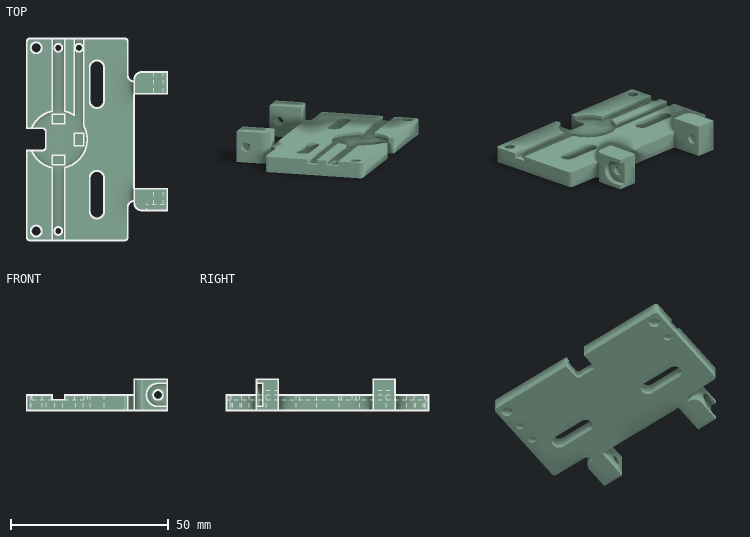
import cadquery as cq

plate_length = 64.0
plate_width = 32.0
wide_width = 34.0
plate_thickness = 5.0
corner_radius = 1.0
relief_radius = wide_width - plate_width

notch_depth = 6.0
notch_width = 7.0
notch_corner_radius = 1.0

channel_depth = 1.5
channel_x = 10.0
channel_width = 3.95
side_channel_x = 16.5
side_channel_width = 3.0
recess_radius = 9.15

pad_depth = 0.1
pad_length = 3.0
pad_offset = 6.5
side_pad_length = 3.95

mount_hole_diameter = 3.4
wire_hole_diameter = 2.4
hole_inset = 3.0
slot_x = 22.2
slot_width = 4.5
slot_length = 15.0
slot_offset = 17.45

lug_end_x = 44.45
lug_height = 10.0
lug_thickness = 7.0
lug_corner_radius = 2.5
upper_lug_outer_y = 21.4
lower_lug_outer_y = -22.5
relief_inset = 3.0
lug_hole_diameter = 3.0
lug_hole_x = 41.5
head_recess_radius = 3.65
head_recess_depth = 2.0

half_length = plate_length / 2
floor_z = plate_thickness - channel_depth
hole_y = half_length - hole_inset


def block(x_min, x_max, y_min, y_max, z_min, z_max):
    """Axis-aligned box given by its limits."""
    size = (x_max - x_min, y_max - y_min, z_max - z_min)
    return cq.Workplane("XY").box(*size, centered=False).translate((x_min, y_min, z_min))


def upright_cylinder(x, y, diameter, z_min, z_max):
    circle = cq.Workplane("XY").workplane(offset=z_min).center(x, y).circle(diameter / 2)
    return circle.extrude(z_max - z_min)


def make_plate():
    """Rounded plate with a wider middle, joined by concave reliefs beside the lugs."""
    plate = block(0, plate_width, -half_length, half_length, 0, plate_thickness)
    plate = plate.edges("|Z").fillet(corner_radius)
    upper_y = upper_lug_outer_y - relief_inset
    lower_y = lower_lug_outer_y + relief_inset
    middle = block(
        plate_width - corner_radius, wide_width,
        lower_y - relief_radius, upper_y + relief_radius, 0, plate_thickness,
    )
    for arc_y in (upper_y + relief_radius, lower_y - relief_radius):
        middle = middle.cut(
            upright_cylinder(wide_width, arc_y, 2 * relief_radius, 0, plate_thickness)
        )
    return plate.union(middle)


def cut_notch(body):
    notch = block(0, notch_depth, -notch_width / 2, notch_width / 2, 0, plate_thickness)
    return body.cut(notch.edges("|Z and >X").fillet(notch_corner_radius))


def cut_channels(body):
    """Full-length channel, half-length side channel and the round recess joining them."""
    main = block(
        channel_x - channel_width / 2, channel_x + channel_width / 2,
        -half_length, half_length, floor_z, plate_thickness,
    )
    side = block(
        side_channel_x - side_channel_width / 2, side_channel_x + side_channel_width / 2,
        0, half_length, floor_z, plate_thickness,
    )
    recess = upright_cylinder(channel_x, 0, 2 * recess_radius, floor_z, plate_thickness)
    return body.cut(main).cut(side).cut(recess)


def cut_pads(body):
    floor = cq.Workplane("XY").workplane(offset=floor_z)
    end_pads = floor.pushPoints([(channel_x, -pad_offset), (channel_x, pad_offset)])
    side_pad = floor.center(side_channel_x, 0)
    body = body.cut(end_pads.rect(channel_width, pad_length).extrude(-pad_depth))
    return body.cut(side_pad.rect(side_channel_width, side_pad_length).extrude(-pad_depth))


def cut_holes(body):
    for y in (-hole_y, hole_y):
        body = body.cut(upright_cylinder(hole_inset, y, mount_hole_diameter, 0, plate_thickness))
    for x, y in ((channel_x, -hole_y), (channel_x, hole_y), (side_channel_x, hole_y)):
        body = body.cut(upright_cylinder(x, y, wire_hole_diameter, 0, plate_thickness))
    slots = cq.Workplane("XY").pushPoints([(slot_x, -slot_offset), (slot_x, slot_offset)])
    return body.cut(slots.slot2D(slot_length, slot_width, 90).extrude(plate_thickness))


def make_lug(outer_y, side):
    """Lug whose outer face points along side (+1 or -1) in Y, drilled along Y."""
    inner_y = outer_y - side * lug_thickness
    y_min = min(outer_y, inner_y)
    y_max = max(outer_y, inner_y)
    lug = block(wide_width, lug_end_x, y_min, y_max, 0, lug_height)
    outer_edge = "|Z and <X and >Y" if side > 0 else "|Z and <X and <Y"
    lug = lug.edges(outer_edge).fillet(lug_corner_radius)
    drill = cq.Workplane("XZ", origin=(lug_hole_x, y_max, lug_height / 2))
    return lug.cut(drill.circle(lug_hole_diameter / 2).extrude(lug_thickness))


def cut_head_recess(lug):
    """Round-ended screw head recess in the -Y face, open at the +X end."""
    bottom_y = lower_lug_outer_y + head_recess_depth
    hole_z = lug_height / 2
    seat = cq.Workplane("XZ", origin=(lug_hole_x, bottom_y, hole_z))
    round_end = seat.circle(head_recess_radius).extrude(head_recess_depth)
    opening = block(
        lug_hole_x, lug_end_x, lower_lug_outer_y, bottom_y,
        hole_z - head_recess_radius, hole_z + head_recess_radius,
    )
    return lug.cut(round_end).cut(opening)


plate = cut_holes(cut_pads(cut_channels(cut_notch(make_plate()))))
upper_lug = make_lug(upper_lug_outer_y, 1)
lower_lug = cut_head_recess(make_lug(lower_lug_outer_y, -1))
result = plate.union(upper_lug).union(lower_lug)